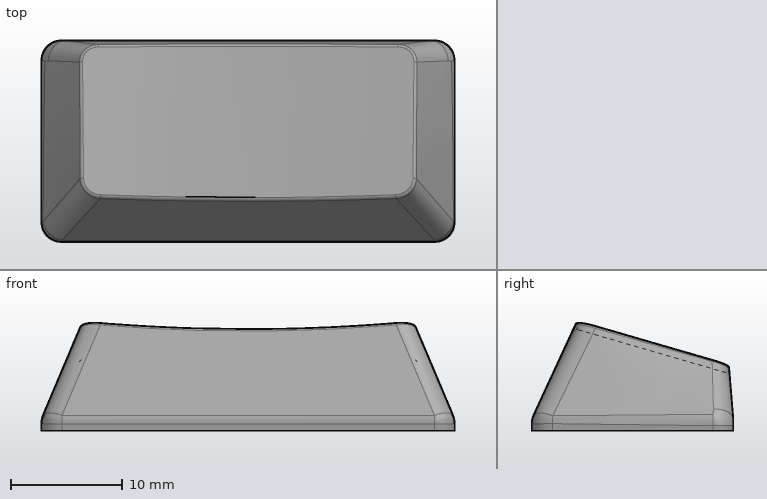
import cadquery as cq
import math

length = 37.2
width = 18.15
skirt_height = 1.05

top_tilt = 16.2
top_length = 30.0
top_front = -4.9
top_back = 8.67
top_middle_height = 8.07

dish_radius = 148.85
dish_depth = 0.9

outside_radius = 1.85
top_edge_radius = 0.3

tolerance = 0.005

top_middle = (top_front + top_back) / 2
top_width = (top_back - top_front) / math.cos(math.radians(top_tilt))
level_plane = cq.Plane(origin=(0, top_middle, top_middle_height))
top_plane = level_plane.rotated((-top_tilt, 0, 0))
shoulder_plane = cq.Plane(origin=(0, 0, skirt_height))


def make_rectangle(plane, size_x, size_y):
    """Closed rectangular wire centred on the plane."""
    return cq.Workplane(plane).rect(size_x, size_y).wires().val()


def make_sharp_body():
    """Upright skirt carrying four sides that lean inward to the tilted top."""
    skirt = cq.Workplane("XY").rect(length, width).extrude(skirt_height)
    shoulder = make_rectangle(shoulder_plane, length, width)
    top = make_rectangle(top_plane, top_length, top_width)
    sides = cq.Solid.makeLoft([shoulder, top], True)
    return skirt.union(cq.Workplane(sides))


def meets_shoulder(edge):
    """True if the edge starts, ends or lies where the skirt meets the sides."""
    ends = (edge.startPoint(), edge.endPoint())
    return any(abs(end.z - skirt_height) < tolerance for end in ends)


def round_outside(body):
    """Round the corners of skirt and sides together with the shoulder between them."""
    outside_edges = [edge for edge in body.edges().vals() if meets_shoulder(edge)]
    return body.newObject(outside_edges).fillet(outside_radius)


def cut_dish(body):
    """Hollow the top with a large cylinder lying along the slope."""
    axis_plane = cq.Plane(top_plane.origin, top_plane.xDir, top_plane.yDir)
    cutter = cq.Workplane(axis_plane).circle(dish_radius).extrude(width, both=True)
    return body.cut(cutter.translate(top_plane.zDir * (dish_radius - dish_depth)))


def round_top_edge(body):
    """Soften the rim of the dish."""
    dish_bottom = top_plane.origin - top_plane.zDir * dish_depth
    dish_face = body.faces(cq.selectors.NearestToPointSelector(dish_bottom.toTuple()))
    return dish_face.edges().fillet(top_edge_radius)


result = round_top_edge(cut_dish(round_outside(make_sharp_body())))